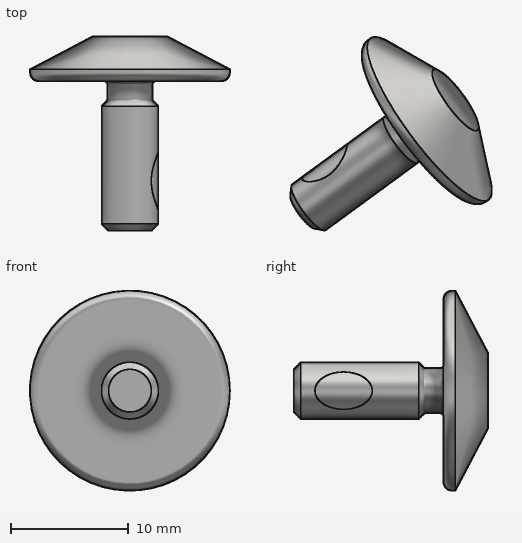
import cadquery as cq
import math

head_radius = 8.5
head_height = 3.81
head_top_radius = 3.175
rim_straight = 0.254
rim_round = 0.762

shank_length = 12.7
shank_radius = 2.413
neck_radius = 1.93
shoulder_start = 2.1
neck_fillet = 0.254
tip_chamfer = 0.6

patch_from_underside = 8.47
patch_half_length = 2.43
patch_half_width = 1.588
patch_depth = 0.762

underside_y = 0.0
tip_y = underside_y - shank_length
head_top_y = underside_y + head_height
rim_top_y = underside_y + rim_round + rim_straight
shoulder_y = underside_y - shoulder_start
neck_end_y = shoulder_y + (shank_radius - neck_radius)
patch_y = underside_y - patch_from_underside


def on_arc(center, radius, degrees):
    """Point on a circle, with the angle measured from +X toward +Y."""
    angle = math.radians(degrees)
    return (center[0] + radius * math.cos(angle), center[1] + radius * math.sin(angle))


def make_solid_screw():
    """Head and shank as one turned solid, before the patch recess is cut."""
    shoulder_fillet_run = neck_fillet * math.tan(math.radians(22.5))
    fillet_x = neck_radius + neck_fillet
    shoulder_fillet = (fillet_x, neck_end_y + shoulder_fillet_run)
    root_fillet = (fillet_x, underside_y - neck_fillet)
    rim_center = (head_radius - rim_round, underside_y + rim_round)

    half_profile = (
        cq.Workplane("XY")
        .moveTo(0, tip_y)
        .lineTo(shank_radius - tip_chamfer, tip_y)
        .lineTo(shank_radius, tip_y + tip_chamfer)
        .lineTo(shank_radius, shoulder_y)
        .lineTo(*on_arc(shoulder_fillet, neck_fillet, 225))
        .threePointArc(
            on_arc(shoulder_fillet, neck_fillet, 202.5),
            on_arc(shoulder_fillet, neck_fillet, 180),
        )
        .lineTo(*on_arc(root_fillet, neck_fillet, 180))
        .threePointArc(
            on_arc(root_fillet, neck_fillet, 135),
            on_arc(root_fillet, neck_fillet, 90),
        )
        .lineTo(*on_arc(rim_center, rim_round, -90))
        .threePointArc(
            on_arc(rim_center, rim_round, -45),
            on_arc(rim_center, rim_round, 0),
        )
        .lineTo(head_radius, rim_top_y)
        .lineTo(head_top_radius, head_top_y)
        .lineTo(0, head_top_y)
        .close()
    )
    return half_profile.revolve(360, (0, 0, 0), (0, 1, 0))


def make_patch(solid_screw):
    """Oval plug with a flat floor, its outer face following the shank's surface."""
    floor_x = shank_radius - patch_depth
    oval_plug = (
        cq.Workplane("YZ", origin=(floor_x, patch_y, 0))
        .ellipse(patch_half_length, patch_half_width)
        .extrude(shank_radius)
    )
    return oval_plug.intersect(solid_screw)


solid_screw = make_solid_screw()
locking_patch = make_patch(solid_screw)
screw = solid_screw.cut(locking_patch)

result = cq.Compound.makeCompound([screw.solids().val(), locking_patch.solids().val()])